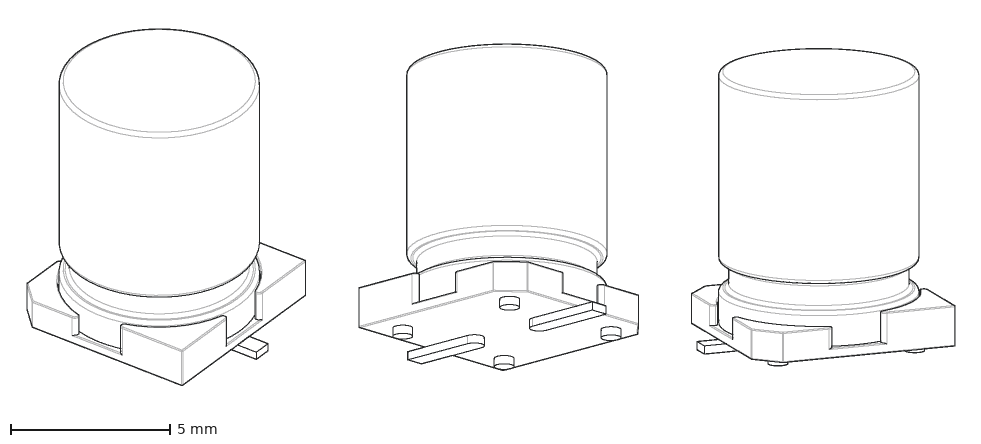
import cadquery as cq
import math

total_height = 8.7
terminal_span = 8.0
base_side = 6.6

can_radius = 6.3 / 2
neck_radius = 5.67 / 2
rim_top = 1.71
shoulder_bottom = 2.59
can_rounding = 0.13
neck_rounding = 0.12

plate_bottom = 0.27
plate_top = 0.59
low_post_top = 1.25
high_post_top = 1.58
corner_cut = 0.765
edge_rounding = 0.035
seat_radius = 3.19
post_gap = 1.67
post_outer_rounding = 0.14
post_inner_rounding = 0.1

lead_width = 0.63
lead_inner_end = 1.1
peg_diameter = 0.63
peg_offset = 2.31


def add_quarter_round(profile, center, radius, start_angle, end_angle):
    """Continue the profile along a quarter circle between two angles in degrees."""
    points = []
    for angle in ((start_angle + end_angle) / 2, end_angle):
        turn = math.radians(angle)
        points.append((center[0] + radius * math.cos(turn), center[1] + radius * math.sin(turn)))
    return profile.threePointArc(*points)


def make_can():
    """Revolve the can profile, with rounded rims above and below the neck."""
    rim_center_r = can_radius - can_rounding
    neck_center_r = neck_radius + neck_rounding
    rim_center = (rim_center_r, rim_top - can_rounding)
    neck_low_center = (neck_center_r, rim_top + neck_rounding)
    neck_high_center = (neck_center_r, shoulder_bottom - neck_rounding)
    shoulder_center = (rim_center_r, shoulder_bottom + can_rounding)
    top_center = (rim_center_r, total_height - can_rounding)

    profile = cq.Workplane("XZ").moveTo(0, plate_top).lineTo(can_radius, plate_top)
    profile = profile.lineTo(can_radius, rim_center[1])
    profile = add_quarter_round(profile, rim_center, can_rounding, 0, 90)
    profile = profile.lineTo(neck_center_r, rim_top)
    profile = add_quarter_round(profile, neck_low_center, neck_rounding, 270, 180)
    profile = profile.lineTo(neck_radius, neck_high_center[1])
    profile = add_quarter_round(profile, neck_high_center, neck_rounding, 180, 90)
    profile = profile.lineTo(rim_center_r, shoulder_bottom)
    profile = add_quarter_round(profile, shoulder_center, can_rounding, -90, 0)
    profile = profile.lineTo(can_radius, top_center[1])
    profile = add_quarter_round(profile, top_center, can_rounding, 0, 90)
    profile = profile.lineTo(0, total_height).close()
    return profile.revolve(360, (0, 0, 0), (0, 1, 0))


def base_block(bottom, top):
    """Square block with its two -X corners cut off and its upright edges rounded."""
    block = cq.Workplane("XY", origin=(0, 0, bottom)).rect(base_side, base_side).extrude(top - bottom)
    return block.edges("|Z and <X").chamfer(corner_cut).edges("|Z").fillet(edge_rounding)


def make_plate():
    """Thin plate under the can, rounded along its top and bottom outlines."""
    return base_block(plate_bottom, plate_top).faces("<Z or >Z").edges().fillet(edge_rounding)


def make_post(sign_x, sign_y):
    """Corner post between two gaps, hollowed to clear the can."""
    top = low_post_top if sign_x < 0 else high_post_top
    bottom = plate_top - edge_rounding
    near = post_gap / 2
    far = base_side / 2
    middle = (near + far) / 2
    corner = (
        cq.Workplane("XY", origin=(sign_x * middle, sign_y * middle, bottom))
        .rect(far - near, far - near)
        .extrude(top - bottom)
    )
    seat = cq.Workplane("XY").circle(seat_radius).extrude(total_height)
    post = base_block(bottom, top).intersect(corner).cut(seat)

    seat_far = math.sqrt(seat_radius ** 2 - near ** 2)
    for distance, radius in ((far, post_outer_rounding), (seat_far, post_inner_rounding)):
        for x, y in ((near, distance), (distance, near)):
            end_point = (sign_x * x, sign_y * y, (bottom + top) / 2)
            end_edge = cq.selectors.NearestToPointSelector(end_point)
            post = post.edges("|Z").edges(end_edge).fillet(radius)
    return post.faces(">Z").edges().fillet(edge_rounding)


def make_lead(sign_x):
    """Flat terminal reaching out along X, with a fully round inner end."""
    round_center = lead_inner_end + lead_width / 2
    length = terminal_span / 2 - round_center
    strip = cq.Workplane("XY").center(sign_x * (round_center + length / 2), 0)
    strip = strip.rect(length, lead_width).extrude(plate_bottom)
    inner_end = cq.Workplane("XY").center(sign_x * round_center, 0)
    inner_end = inner_end.circle(lead_width / 2).extrude(plate_bottom)
    return strip.union(inner_end)


def make_pegs():
    """Four round support pegs under the base corners."""
    pegs = cq.Workplane("XY").rect(2 * peg_offset, 2 * peg_offset, forConstruction=True).vertices()
    return pegs.circle(peg_diameter / 2).extrude(plate_bottom)


result = make_plate().union(make_can()).union(make_pegs())
for side_x in (-1, 1):
    result = result.union(make_lead(side_x))
    for side_y in (-1, 1):
        result = result.union(make_post(side_x, side_y))